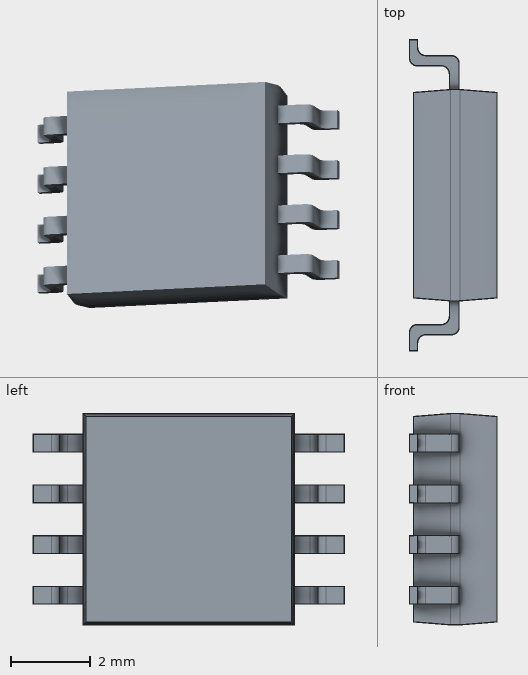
import cadquery as cq


body_side = 5.3
standoff = 0.1
package_height = 2.2
band_thickness = 0.25
draft_inset = 0.075

lead_span = 7.8
lead_pitch = 1.27
leads_per_side = 4
lead_width = 0.45
lead_thickness = 0.25
foot_thickness = 0.21
lead_top = 1.25
foot_to_riser = 0.4
riser_thickness = 0.26
bend_radius = 0.2
lead_embed = 0.3

body_thickness = package_height - standoff
body_mid_x = standoff + body_thickness / 2
taper_height = (body_thickness - band_thickness) / 2
face_side = body_side - 2 * draft_inset


def make_tapered_half(band_edge_x, face_x):
    """Frustum from the edge of the straight band to one big face."""
    return (
        cq.Workplane("YZ", origin=(band_edge_x, 0, 0))
        .rect(body_side, body_side)
        .workplane(offset=face_x - band_edge_x)
        .rect(face_side, face_side)
        .loft(combine=True, ruled=True)
    )


def make_body():
    """Straight middle band with a tapered half on each side."""
    band_start_x = standoff + taper_height
    band_end_x = band_start_x + band_thickness
    band = cq.Workplane("XY").box(band_thickness, body_side, body_side).translate((body_mid_x, 0, 0))
    lower_half = make_tapered_half(band_start_x, standoff)
    upper_half = make_tapered_half(band_end_x, package_height)
    return band.union(lower_half).union(upper_half)


def make_lead():
    """Gull-wing lead on the +Y side, centred on Z = 0."""
    tip_y = lead_span / 2
    riser_outer_y = tip_y - foot_to_riser
    riser_inner_y = riser_outer_y - riser_thickness
    root_y = body_side / 2 - lead_embed
    shoulder_x = lead_top - lead_thickness
    outline = [
        (0, tip_y),
        (foot_thickness, tip_y),
        (foot_thickness, riser_outer_y),
        (lead_top, riser_outer_y),
        (lead_top, root_y),
        (shoulder_x, root_y),
        (shoulder_x, riser_inner_y),
        (0, riser_inner_y),
    ]
    bends = [
        (foot_thickness, riser_outer_y),
        (lead_top, riser_outer_y),
        (shoulder_x, riser_inner_y),
        (0, riser_inner_y),
    ]
    lead = (
        cq.Workplane("XY", origin=(0, 0, -lead_width / 2))
        .polyline(outline)
        .close()
        .extrude(lead_width)
    )
    for x, y in bends:
        lead = lead.edges(cq.selectors.NearestToPointSelector((x, y, 0))).fillet(bend_radius)
    return lead


result = make_body()
lead = make_lead()
opposite_lead = lead.mirror("XZ")
for index in range(leads_per_side):
    lead_z = (index - (leads_per_side - 1) / 2) * lead_pitch
    for row_lead in (lead, opposite_lead):
        result = result.union(row_lead.translate((0, 0, lead_z)))